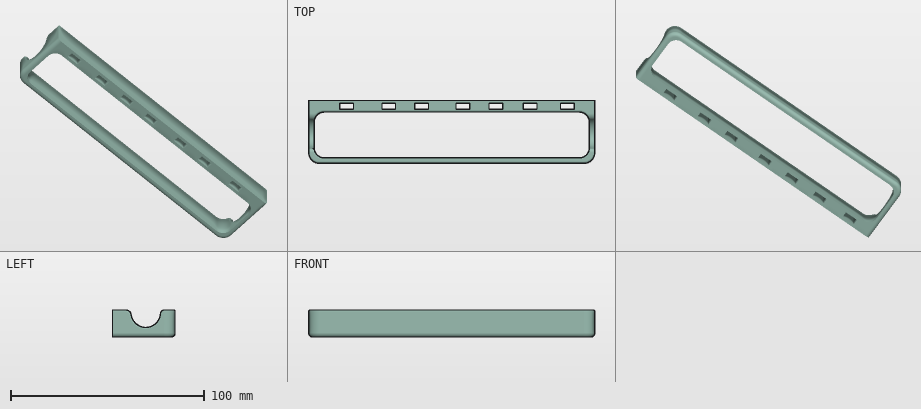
import cadquery as cq
import math

length = 148.0
depth = 32.5
height = 14.0

thin_wall = 3.0
back_wall = 6.0
front_corner_radius = 5.6
opening_corner_radius = 5.0

rim_radius = 1.0
bottom_radius = 2.0

notch_center_y = 15.2
notch_radius = 7.5
notch_floor_z = 5.0
notch_center_z = notch_floor_z + notch_radius
back_blend_radius = 3.0
front_blend_radius = 2.0

slot_length = 7.0
slot_width = 3.0
slot_back_margin = 1.5
slot_centers_x = (-54.3, -32.5, -15.5, 5.8, 22.8, 40.5, 59.8)

tolerance = 0.01


def make_frame():
    """Rectangular frame with rounded front and inner corners."""
    outer = (
        cq.Workplane("XY")
        .box(length, depth, height, centered=(True, False, False))
        .edges("|Z and <Y")
        .fillet(front_corner_radius)
    )
    opening_length = length - 2 * thin_wall
    opening_depth = depth - thin_wall - back_wall
    opening = (
        cq.Workplane("XY")
        .center(0, thin_wall)
        .box(opening_length, opening_depth, height, centered=(True, False, False))
        .edges("|Z")
        .fillet(opening_corner_radius)
    )
    return outer.cut(opening)


def blend_points(side, radius):
    """Three points of the arc that is tangent to the top face and the notch circle."""
    center_z = height - radius
    rise = center_z - notch_center_z
    run = math.sqrt((notch_radius + radius) ** 2 - rise**2)
    center_y = notch_center_y + side * run
    start_angle = math.pi / 2
    end_angle = math.atan2(-rise, -run)
    angles = (start_angle, (start_angle + end_angle) / 2, end_angle)
    return [
        (center_y + side * radius * math.cos(angle), center_z + radius * math.sin(angle))
        for angle in angles
    ]


def cut_notches(frame):
    """Cut the same U-shaped notch across both end walls."""
    back_top, back_middle, back_end = blend_points(1, back_blend_radius)
    front_top, front_middle, front_end = blend_points(-1, front_blend_radius)
    notch = (
        cq.Workplane("YZ")
        .moveTo(*back_top)
        .threePointArc(back_middle, back_end)
        .threePointArc((notch_center_y, notch_floor_z), front_end)
        .threePointArc(front_middle, front_top)
        .close()
        .extrude(length / 2, both=True)
    )
    return frame.cut(notch)


def is_rim_edge(edge):
    """True for the top and notch edges along the inner and outer walls."""
    box = edge.BoundingBox()
    above_floor = box.zmin > notch_floor_z - tolerance
    on_back_face = box.ymin > depth - tolerance
    crosses_wall = edge.geomType() == "LINE" and abs(edge.tangentAt(0).x) > 1.5 - tolerance
    is_short = box.xlen < length / 2
    return above_floor and not on_back_face and not (crosses_wall and is_short)


def is_bottom_outer_edge(edge):
    """True for the bottom edges along the front, the ends and the front corners."""
    box = edge.BoundingBox()
    on_bottom = box.zmax < tolerance
    on_back_face = box.ymin > depth - tolerance
    on_front = box.ymin < tolerance
    on_end = max(abs(box.xmin), abs(box.xmax)) > length / 2 - tolerance
    return on_bottom and not on_back_face and (on_front or on_end)


def round_edges(frame):
    """Round the upper rim, including the notches, and the outer bottom edges."""
    rounded = frame.edges().filter(is_rim_edge).fillet(rim_radius)
    return rounded.edges().filter(is_bottom_outer_edge).fillet(bottom_radius)


def cut_slots(frame):
    """Cut the row of slots down through the back wall."""
    slot_y = depth - slot_back_margin - slot_width / 2
    slots = (
        cq.Workplane("XY")
        .pushPoints([(x, slot_y) for x in slot_centers_x])
        .rect(slot_length, slot_width)
        .extrude(height)
    )
    return frame.cut(slots)


result = cut_slots(round_edges(cut_notches(make_frame())))